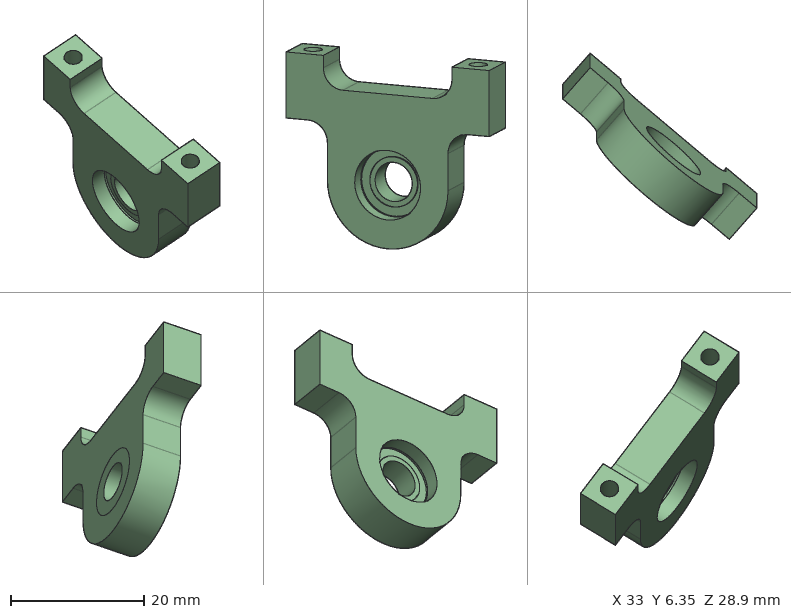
import cadquery as cq
import math

width = 33.02
height = 28.85
thickness = 6.35
lobe_radius = 9.8
ear_width = 6.08
ear_height = 10.17
saddle_depth = 5.1
corner_radius = 3.17
top_z = height - lobe_radius
saddle_z = top_z - saddle_depth
ear_bottom_z = top_z - ear_height
half_width = width / 2
saddle_half_width = half_width - ear_width

screw_hole_diameter = 2.7
screw_hole_depth = 6.6
drill_tip_angle = 118.0
screw_hole_x = half_width - 3.1

seat_radius = 5.35
bearing_width = 4.0
shield_outer_radius = 5.3
shield_inner_radius = 3.85
shield_recess = 0.3
bearing_bore_radius = 3.0

front_y = -thickness / 2
back_y = thickness / 2


def cylinder_along_y(radius, start_y, end_y):
    """Round bar on the bore axis between two Y positions."""
    axis_start = cq.Vector(0, start_y, 0)
    return cq.Workplane(cq.Solid.makeCylinder(radius, end_y - start_y, axis_start, cq.Vector(0, 1, 0)))


def make_plate():
    """Lobed plate with two ears and a rounded saddle between them."""
    plate = (
        cq.Workplane("XZ", origin=(0, back_y, 0))
        .moveTo(-lobe_radius, 0)
        .lineTo(-lobe_radius, ear_bottom_z)
        .lineTo(-half_width, ear_bottom_z)
        .lineTo(-half_width, top_z)
        .lineTo(-saddle_half_width, top_z)
        .lineTo(-saddle_half_width, saddle_z)
        .lineTo(saddle_half_width, saddle_z)
        .lineTo(saddle_half_width, top_z)
        .lineTo(half_width, top_z)
        .lineTo(half_width, ear_bottom_z)
        .lineTo(lobe_radius, ear_bottom_z)
        .lineTo(lobe_radius, 0)
        .threePointArc((0, -lobe_radius), (-lobe_radius, 0))
        .close()
        .extrude(thickness)
    )
    inside_corners = [
        (side * x, 0, z)
        for side in (-1, 1)
        for x, z in ((saddle_half_width, saddle_z), (lobe_radius, ear_bottom_z))
    ]
    for corner in inside_corners:
        plate = plate.edges(cq.selectors.NearestToPointSelector(corner)).fillet(corner_radius)
    return plate


def make_screw_hole(x):
    """Cutter for a blind drilled hole with a conical bottom."""
    radius = screw_hole_diameter / 2
    tip_height = radius / math.tan(math.radians(drill_tip_angle / 2))
    bottom_z = top_z - screw_hole_depth
    return (
        cq.Workplane("XZ", origin=(x, 0, 0))
        .moveTo(0, top_z)
        .lineTo(radius, top_z)
        .lineTo(radius, bottom_z)
        .lineTo(0, bottom_z - tip_height)
        .close()
        .revolve(360, (0, 0, 0), (0, 1, 0))
    )


def make_housing():
    """Plate with the through bore for the bearing and the screw holes."""
    housing = make_plate()
    housing = housing.cut(cylinder_along_y(seat_radius, front_y, back_y))
    for side in (-1, 1):
        housing = housing.cut(make_screw_hole(side * screw_hole_x))
    return housing


def make_bearing():
    """Bearing flush with the back face, its front shield sunk between the two races."""
    bearing_front_y = back_y - bearing_width
    shield_y = bearing_front_y + shield_recess
    bearing = cylinder_along_y(seat_radius, bearing_front_y, back_y)
    bearing = bearing.cut(cylinder_along_y(bearing_bore_radius, bearing_front_y, back_y))
    inner_race = cylinder_along_y(shield_inner_radius, bearing_front_y, shield_y)
    recess = cylinder_along_y(shield_outer_radius, bearing_front_y, shield_y).cut(inner_race)
    return bearing.cut(recess)


housing = make_housing()
bearing = make_bearing()

result = cq.Compound.makeCompound([housing.val(), bearing.val()])